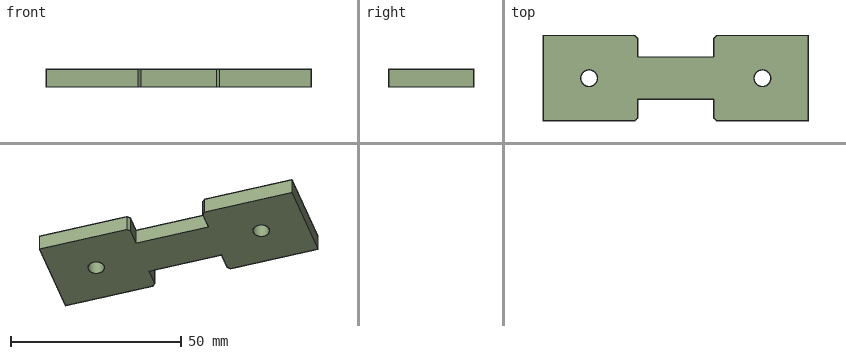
import cadquery as cq

length = 77.85
width = 25.1
thickness = 5.3

neck_length = 22.3
neck_width = 12.45

inner_corner_chamfer = 0.85

hole_diameter = 4.8
hole_spacing = 50.8

pad_length = (length - neck_length) / 2
pad_center = (length - pad_length) / 2


def make_pad(side):
    """Pad at one end (side = -1 or +1), chamfered at its two corners facing the neck."""
    inner_edges = "|Z and <X" if side > 0 else "|Z and >X"
    return (
        cq.Workplane("XY")
        .center(side * pad_center, 0)
        .rect(pad_length, width)
        .extrude(thickness)
        .edges(inner_edges)
        .chamfer(inner_corner_chamfer)
    )


neck = cq.Workplane("XY").rect(neck_length, neck_width).extrude(thickness)
plate = make_pad(-1).union(neck).union(make_pad(1))

result = (
    plate.faces(">Z")
    .workplane(origin=(0, 0, thickness))
    .pushPoints([(-hole_spacing / 2, 0), (hole_spacing / 2, 0)])
    .hole(hole_diameter)
)